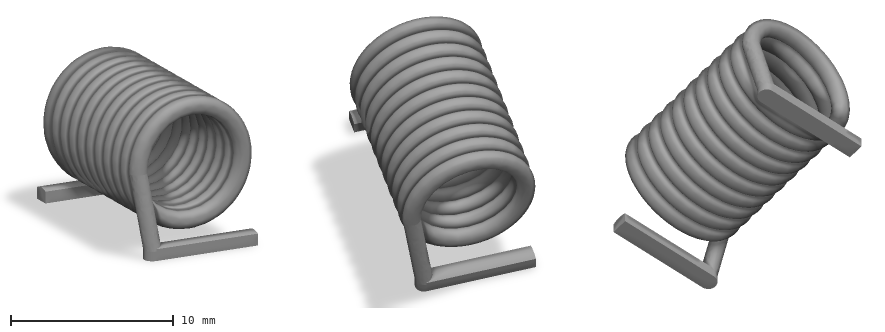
import cadquery as cq
import math

total_length = 14.86
total_height = 9.65
coil_diameter = 8.63
wire_diameter = 1.13
turns = 10.5
pitch = 1.15
foot_span = 7.58
heel_height = 0.61
foot_side_height = 0.76
foot_crown_height = 0.89

wire_radius = wire_diameter / 2
coil_radius = coil_diameter / 2 - wire_radius
coil_length = turns * pitch
axis_height = total_height - coil_diameter / 2
foot_x = -total_length / 2 + wire_radius
heel_y = foot_span / 2 - wire_radius
toe_y = -foot_span / 2

coil_start = cq.Vector(-coil_length / 2, coil_radius, axis_height)
start_direction = cq.Vector(pitch, 0, 2 * math.pi * coil_radius)


def make_coil():
    """Right-handed winding around an axis parallel to X."""
    helix = cq.Wire.makeHelix(pitch, coil_length, coil_radius)
    axis_plane = cq.Plane(origin=(-coil_length / 2, 0, axis_height), xDir=(0, 1, 0), normal=(1, 0, 0))
    path = cq.Workplane(obj=helix.moved(cq.Location(axis_plane)))
    section_plane = cq.Plane(origin=coil_start, xDir=(0, 1, 0), normal=start_direction)
    return cq.Workplane(section_plane).circle(wire_radius).sweep(path, isFrenet=True)


def make_leg():
    """Slanted wire from the left end of the winding down to the heel."""
    heel_center = cq.Vector(foot_x, heel_y, heel_height)
    lower_circle = cq.Wire.makeCircle(wire_radius, heel_center, cq.Vector(0, 0, 1))
    upper_circle = cq.Wire.makeCircle(wire_radius, coil_start, start_direction)
    return cq.Workplane(obj=cq.Solid.makeLoft([lower_circle, upper_circle], True))


def make_foot():
    """Flat-bottomed solder foot with an arched top and a rounded heel."""
    heel = cq.Workplane("XY").center(foot_x, heel_y).circle(wire_radius).extrude(heel_height)
    bar = (
        cq.Workplane("XZ", origin=(foot_x, heel_y, 0))
        .moveTo(-wire_radius, 0)
        .lineTo(wire_radius, 0)
        .lineTo(wire_radius, foot_side_height)
        .threePointArc((0, foot_crown_height), (-wire_radius, foot_side_height))
        .close()
        .extrude(heel_y - toe_y)
    )
    return heel.union(bar)


left_terminal = make_leg().union(make_foot())
right_terminal = left_terminal.rotate((0, 0, 0), (0, 0, 1), 180)
result = make_coil().union(left_terminal).union(right_terminal)